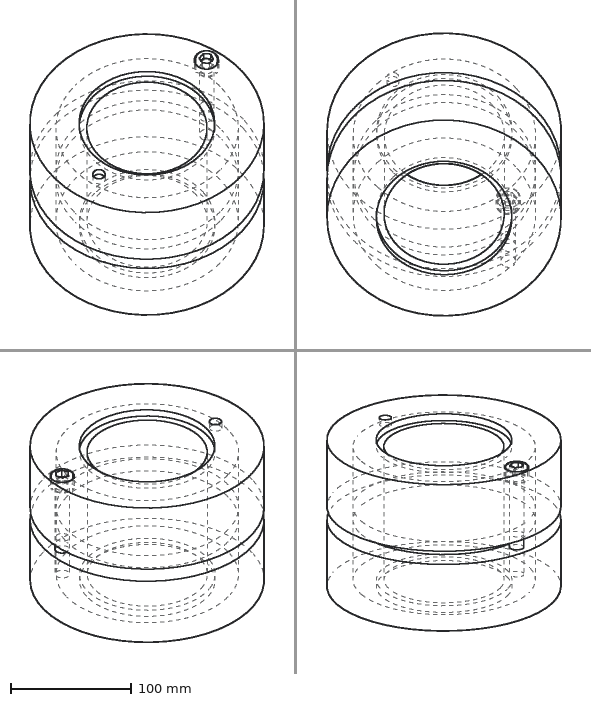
import cadquery as cq
import math

ring_diameter = 195.0
ring_height = 60.0
ring_gap = 11.9
lip_diameter = 113.0
lip_thickness = 6.0

bush_diameter = 152.0
bush_bore_diameter = 100.0

jack_hole_diameter = 10.1
jack_hole_y = -68.5

screw_y = 85.0
shank_diameter = 12.0
head_diameter = 18.0
head_height = 12.0
head_protrusion = 2.0
head_fillet = 1.0
counterbore_diameter = 20.0
socket_width = 10.1
socket_depth = 6.0
socket_cone_angle = 120.0
thread_depth = 2 * shank_diameter

upper_ring_base = ring_height + ring_gap
top_face = upper_ring_base + ring_height
bush_base = lip_thickness
bush_top = top_face - lip_thickness
head_top = top_face + head_protrusion
head_base = head_top - head_height
screw_tip = ring_height - thread_depth
socket_floor = head_top - socket_depth
socket_corner_diameter = socket_width / math.cos(math.pi / 6)
socket_cone_height = socket_width / 2 / math.tan(math.radians(socket_cone_angle / 2))


def cylinder(diameter, base, top, y=0.0):
    """Vertical cylinder between two heights, centred on X = 0."""
    return cq.Workplane("XY", origin=(0, y, base)).circle(diameter / 2).extrude(top - base)


def make_ring(base):
    """Ring with its lip opening and the seat for the bush."""
    ring = cylinder(ring_diameter, base, base + ring_height)
    ring = ring.cut(cylinder(lip_diameter, base, base + ring_height))
    return ring.cut(cylinder(bush_diameter, bush_base, bush_top))


def make_lower_ring():
    """Ring with a blind hole for the screw end."""
    return make_ring(0.0).cut(cylinder(shank_diameter, screw_tip, ring_height, screw_y))


def make_upper_ring():
    """Ring with a counterbored screw hole and a jacking hole."""
    ring = make_ring(upper_ring_base)
    ring = ring.cut(cylinder(shank_diameter, upper_ring_base, head_base, screw_y))
    ring = ring.cut(cylinder(counterbore_diameter, head_base, top_face, screw_y))
    return ring.cut(cylinder(jack_hole_diameter, bush_top, top_face, jack_hole_y))


def make_bush():
    """Plain tube spanning both rings."""
    return cylinder(bush_diameter, bush_base, bush_top).cut(
        cylinder(bush_bore_diameter, bush_base, bush_top)
    )


def make_socket():
    """Hexagonal recess with corners along Y and a conical bottom."""
    hexagon = (
        cq.Workplane("XY", origin=(0, screw_y, socket_floor))
        .transformed(rotate=(0, 0, 90))
        .polygon(6, socket_corner_diameter)
        .extrude(socket_depth)
    )
    cone = cq.Solid.makeCone(
        socket_width / 2,
        0,
        socket_cone_height,
        pnt=cq.Vector(0, screw_y, socket_floor),
        dir=cq.Vector(0, 0, -1),
    )
    return hexagon.union(cq.Workplane(cone))


def make_screw():
    """Rounded socket head on a plain shank."""
    head = cylinder(head_diameter, head_base, head_top, screw_y)
    head = head.faces(">Z").edges().fillet(head_fillet)
    shank = cylinder(shank_diameter, screw_tip, head_base, screw_y)
    return head.union(shank).cut(make_socket())


lower_ring = make_lower_ring()
upper_ring = make_upper_ring()
bush = make_bush()
screw = make_screw()

result = cq.Compound.makeCompound([lower_ring.val(), upper_ring.val(), bush.val(), screw.val()])